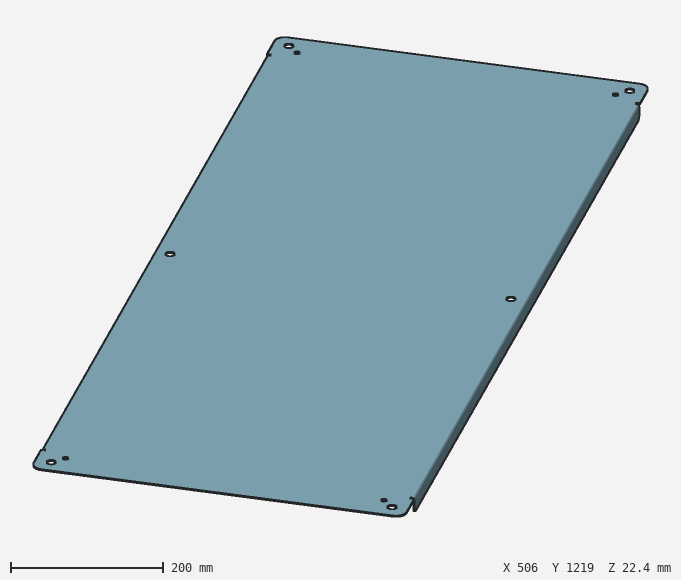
import cadquery as cq

length = 1219.0
width = 506.0

thickness = 2.0
bend_radius = 5.4
inner_bend_radius = bend_radius - thickness
plate_corner_radius = 15.0

flange_end_gap = 54.0
flange_length = length - 2 * flange_end_gap
relief_width = 2.0
relief_length = flange_length + 2 * relief_width
flange_corner_radius = 6.0
flange_drop = 17.0
height = flange_drop + bend_radius

mounting_diameter = 12.0
mounting_inset = 22.0
small_diameter = 7.2
small_spacing = 1145.0
small_inset = (length - small_spacing) / 2

half_width = width / 2


def make_plate():
    """Flat sheet with rounded corners."""
    return (
        cq.Workplane("XY")
        .rect(width, length)
        .extrude(-thickness)
        .edges("|Z")
        .fillet(plate_corner_radius)
    )


def clear_fold_edges(plate):
    """Remove the square plate edges along the folds and their relief slots."""
    for side in (-1, 1):
        strip = cq.Workplane("XY").box(bend_radius, relief_length, thickness).translate(
            (side * (half_width - bend_radius / 2), 0, -thickness / 2)
        )
        plate = plate.cut(strip)
    return plate


def make_left_flange():
    """Quarter-round fold and the vertical flange below it, on the -X edge."""
    outer_x = -half_width
    inner_x = outer_x + thickness
    fold_x = outer_x + bend_radius
    flange = (
        cq.Workplane("XZ")
        .moveTo(outer_x, -height)
        .lineTo(outer_x, -bend_radius)
        .radiusArc((fold_x, 0), bend_radius)
        .lineTo(fold_x, -thickness)
        .radiusArc((inner_x, -bend_radius), -inner_bend_radius)
        .lineTo(inner_x, -height)
        .close()
        .extrude(flange_length / 2, both=True)
    )
    return flange.faces("<Z").edges("|X").fillet(flange_corner_radius)


def drill(body, diameter, inset, y_positions):
    """Through holes in mirrored pairs, inset from the long edges."""
    x = half_width - inset
    points = [(side * x, y) for side in (-1, 1) for y in y_positions]
    return body.cut(
        cq.Workplane("XY").pushPoints(points).circle(diameter / 2).extrude(-thickness)
    )


mounting_y = length / 2 - mounting_inset
small_y = small_spacing / 2

left_flange = make_left_flange()
result = clear_fold_edges(make_plate())
result = result.union(left_flange).union(left_flange.mirror("YZ"))
result = drill(result, mounting_diameter, mounting_inset, (-mounting_y, 0, mounting_y))
result = drill(result, small_diameter, small_inset, (-small_y, small_y))